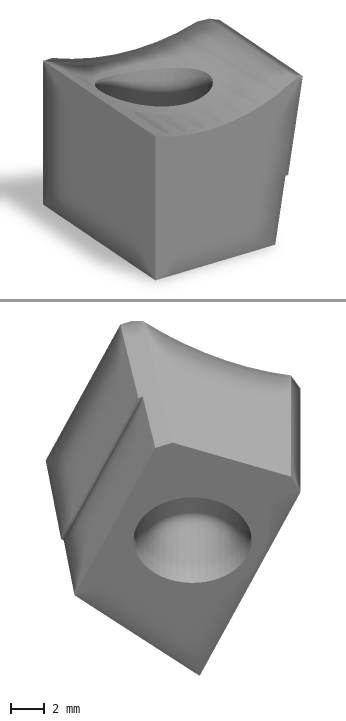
import cadquery as cq
import math

length = 17.19
depth = 11.5
height = 10.0

end_angle = 20.0
back_angle = 11.0

front_height = 8.97
land_width = 0.48
hollow_radius = 15.0

relief_height = 4.1
relief_depth = 0.2

corner_chamfer = 1.0

hole_x = 7.0
hole_y = 4.5
hole_diameter = 7.01


def back_at(z):
    """Y position of the unrelieved back face at height z."""
    return depth - (height - z) * math.tan(math.radians(back_angle))


def side_body():
    """Side profile in YZ, with the hollow top and stepped back, extruded along X."""
    return (
        cq.Workplane("YZ")
        .lineTo(0, front_height)
        .radiusArc((depth - land_width, height), -hollow_radius)
        .lineTo(depth, height)
        .lineTo(back_at(relief_height), relief_height)
        .lineTo(back_at(relief_height) - relief_depth, relief_height)
        .lineTo(back_at(0) - relief_depth, 0)
        .close()
        .extrude(length)
    )


def plan_body():
    """Plan outline with the angled right end and the front left chamfer."""
    back_length = length - depth * math.tan(math.radians(end_angle))
    return (
        cq.Workplane("XY")
        .moveTo(corner_chamfer, 0)
        .lineTo(length, 0)
        .lineTo(back_length, depth)
        .lineTo(0, depth)
        .lineTo(0, corner_chamfer)
        .close()
        .extrude(height)
    )


def back_corner_cutter():
    """Leaning prism that chamfers the back left corner along the back slope."""
    reach = 2 * corner_chamfer

    def section(workplane, back):
        outline = [
            (-corner_chamfer, back - reach),
            (corner_chamfer, back),
            (corner_chamfer, back + reach),
            (-corner_chamfer, back + reach),
        ]
        return workplane.polyline(outline).close()

    bottom = section(cq.Workplane("XY"), back_at(0))
    return section(bottom.workplane(offset=height), back_at(height)).loft(ruled=True)


hole = cq.Workplane("XY").center(hole_x, hole_y).circle(hole_diameter / 2).extrude(height)

result = side_body().intersect(plan_body()).cut(back_corner_cutter()).cut(hole)